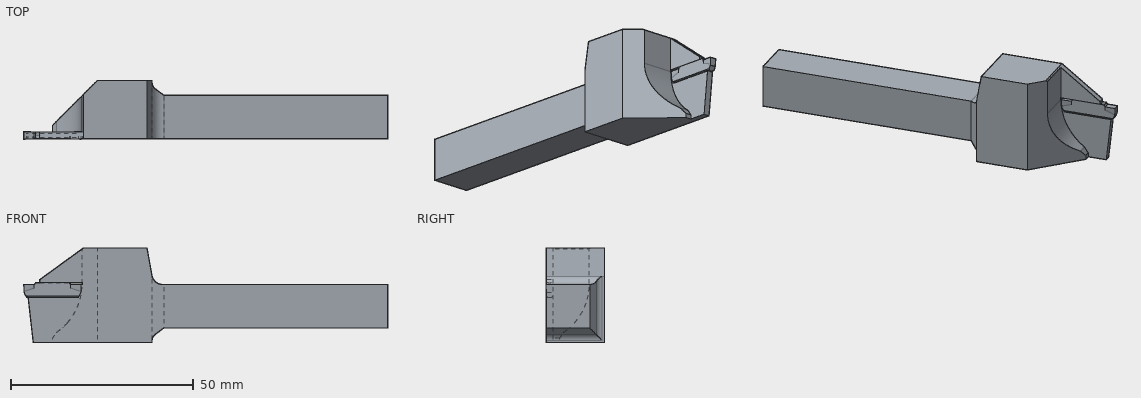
import cadquery as cq
import math


total_length = 100.0
shank_size = 12.0
shank_bottom = 4.0
shank_top = shank_bottom + shank_size
head_height = 26.0
head_depth = 16.1
head_end = 35.3
head_top_end = 33.9
shoulder_end = 38.5
shoulder_drop = 2.4
shoulder_radius = 2.0
neck_start_height = 18.2
neck_radius = 3.0

blade_thickness = 1.9
blade_bottom_x = 2.6
blade_nose_x = 1.2
jaw_front = 4.4
jaw_nose_height = 17.3
jaw_top_x = 16.4

clearance_radius = 16.0
clearance_arc_end_height = 2.8
toe_x = 7.9
toe_height = 1.2
chamfer_offset = 4.2

insert_length = 15.8
insert_bottom = 12.4
insert_top = 16.5
edge_height = shank_top
edge_width = 2.1
edge_overhang = (edge_width - blade_thickness) / 2
tip_length = 2.9
tip_step = 0.4
nose_height = 13.7
nose_setback = 0.1
bottom_setback = 0.8
vee_depth = 0.1
bottom_chamfer = 0.4
pocket_end = 16.1
flank_front_height = 14.0
flank_rear_height = 15.0
flank_rear_width = 2.0

mid_y = blade_thickness / 2


def arc_middle(start, end, center):
    """Middle of the shorter arc between two points about a center."""
    dx = (start[0] + end[0]) / 2 - center[0]
    dz = (start[1] + end[1]) / 2 - center[1]
    scale = math.dist(start, center) / math.hypot(dx, dz)
    return center[0] + dx * scale, center[1] + dz * scale


def extrude_y(sketch, start, end):
    """Extrude a closed XZ outline from one Y to another."""
    return sketch.extrude(-(end - start)).translate((0, start, 0))


def center_between(start, end, radius):
    """Center of an arc through two points, on the upper right side of the chord."""
    chord = math.dist(start, end)
    rise = math.sqrt(radius**2 - (chord / 2) ** 2)
    normal_x = (start[1] - end[1]) / chord
    normal_z = (end[0] - start[0]) / chord
    return (
        (start[0] + end[0]) / 2 + normal_x * rise,
        (start[1] + end[1]) / 2 + normal_z * rise,
    )


def side_body():
    """Full-depth body with the side outline of blade, head and shank."""
    neck_start = (head_end, neck_start_height)
    neck_end = (shoulder_end, shank_top)
    neck_center = center_between(neck_start, neck_end, neck_radius)
    outline = (
        cq.Workplane("XZ")
        .moveTo(blade_bottom_x, 0)
        .lineTo(blade_nose_x, insert_bottom)
        .lineTo(jaw_front, insert_bottom)
        .lineTo(jaw_front, jaw_nose_height)
        .lineTo(jaw_top_x, head_height)
        .lineTo(head_top_end, head_height)
        .lineTo(*neck_start)
        .threePointArc(arc_middle(neck_start, neck_end, neck_center), neck_end)
        .lineTo(total_length, shank_top)
        .lineTo(total_length, shank_bottom)
        .lineTo(shoulder_end, shank_bottom)
        .lineTo(head_end, shank_bottom - shoulder_drop)
        .lineTo(head_end, 0)
        .close()
    )
    body = extrude_y(outline, 0, head_depth)
    corner = cq.NearestToPointSelector((head_end, head_depth / 2, shank_bottom - shoulder_drop))
    return body.edges(corner).fillet(shoulder_radius)


def plan_body():
    """Plan outline: blade, 45 degree front, head, back shoulder and shank."""
    shoulder_y = shank_size + shoulder_drop
    body = (
        cq.Workplane("XY")
        .polyline([
            (0, 0),
            (total_length, 0),
            (total_length, shank_size),
            (shoulder_end, shank_size),
            (head_end, shoulder_y),
            (head_end, head_depth),
            (head_depth + chamfer_offset, head_depth),
            (blade_thickness + chamfer_offset, blade_thickness),
            (0, blade_thickness),
        ])
        .close()
        .extrude(head_height)
    )
    corner = cq.NearestToPointSelector((head_end, shoulder_y, head_height / 2))
    return body.edges(corner).fillet(shoulder_radius)


def workpiece_clearance():
    """Curved space behind the blade."""
    center = (0, shank_top)
    arc_start = (clearance_radius, shank_top)
    arc_drop = shank_top - clearance_arc_end_height
    arc_end = (math.sqrt(clearance_radius**2 - arc_drop**2), clearance_arc_end_height)
    outline = (
        cq.Workplane("XZ")
        .moveTo(0, 0)
        .lineTo(toe_x, 0)
        .lineTo(toe_x, toe_height)
        .lineTo(*arc_end)
        .threePointArc(arc_middle(arc_end, arc_start, center), arc_start)
        .lineTo(clearance_radius, head_height)
        .lineTo(0, head_height)
        .close()
    )
    return extrude_y(outline, blade_thickness, head_depth)


def insert_section(length):
    """Bar with the insert's cross-section: grooved top and chamfered bottom edges."""
    return (
        cq.Workplane("YZ")
        .polyline([
            (0, insert_bottom + bottom_chamfer),
            (bottom_chamfer, insert_bottom),
            (blade_thickness - bottom_chamfer, insert_bottom),
            (blade_thickness, insert_bottom + bottom_chamfer),
            (blade_thickness, insert_top),
            (mid_y, insert_top - vee_depth),
            (0, insert_top),
        ])
        .close()
        .extrude(length)
    )


def insert_profile():
    """Side profile of the insert, as wide as its cutting edges."""
    half = [
        (bottom_setback, insert_bottom),
        (nose_setback, nose_height),
        (0, edge_height),
        (tip_length, edge_height),
        (tip_length + tip_step, insert_top),
    ]
    other_half = [(insert_length - x, z) for x, z in reversed(half)]
    outline = cq.Workplane("XZ").polyline(half + other_half).close()
    return extrude_y(outline, -edge_overhang, blade_thickness + edge_overhang)


def insert_pocket():
    """Through pocket shaped like the insert, open above its rear tip."""
    outline = (
        cq.Workplane("XZ")
        .polyline([
            (0, insert_bottom),
            (insert_length - bottom_setback, insert_bottom),
            (insert_length - nose_setback, nose_height),
            (insert_length, edge_height),
            (pocket_end, edge_height),
            (pocket_end, insert_top),
            (0, insert_top),
        ])
        .close()
    )
    roof_ridge = (
        cq.Workplane("YZ")
        .polyline([(0, insert_top), (mid_y, insert_top - vee_depth), (blade_thickness, insert_top)])
        .close()
        .extrude(pocket_end)
    )
    return extrude_y(outline, 0, blade_thickness).cut(roof_ridge)


def tip_section(width, bottom):
    """Points of a tip cross-section, tapering down to the insert's width."""
    return [
        (mid_y - width / 2, edge_height),
        (mid_y + width / 2, edge_height),
        (blade_thickness, bottom),
        (0, bottom),
    ]


def make_holder():
    holder = side_body().intersect(plan_body())
    return holder.cut(workpiece_clearance()).cut(insert_pocket())


def make_insert():
    """Double-ended insert whose wider tips have relieved flanks."""
    tip = (
        cq.Workplane("YZ")
        .polyline(tip_section(edge_width, flank_front_height))
        .close()
        .workplane(offset=tip_length)
        .polyline(tip_section(flank_rear_width, flank_rear_height))
        .close()
        .loft(ruled=True)
    )
    rear_tip = tip.mirror("YZ").translate((insert_length, 0, 0))
    blank = insert_section(insert_length).union(tip).union(rear_tip)
    return blank.intersect(insert_profile())


holder = make_holder()
insert = make_insert()

result = cq.Compound.makeCompound([holder.solids().val(), insert.solids().val()])